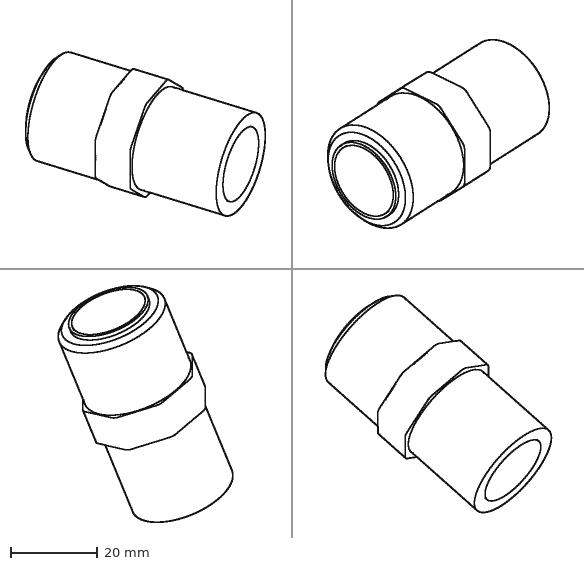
import cadquery as cq

total_length = 51.0
lip_length = 1.0
collar_start = 20.0
collar_width = 9.1

bore_diameter = 18.1
lip_diameter = 19.65
body_diameter = 26.4
spigot_diameter = 25.0
collar_across_flats = 27.0
collar_sides = 8
collar_corner_radius = 2.25
body_chamfer = 1.3

collar_end = collar_start + collar_width


def cylinder(diameter, start, end):
    """Solid cylinder along X between two axial positions."""
    return cq.Workplane("YZ", origin=(start, 0, 0)).circle(diameter / 2).extrude(end - start)


def octagonal_collar():
    """Octagon with rounded corners and flats facing Y and Z."""
    return (
        cq.Workplane("YZ", origin=(collar_start, 0, 0))
        .polygon(collar_sides, collar_across_flats, circumscribed=True)
        .extrude(collar_width)
        .edges("|X")
        .fillet(collar_corner_radius)
    )


lip = cylinder(lip_diameter, 0, collar_start)
body = cylinder(body_diameter, lip_length, collar_start).faces("<X").chamfer(body_chamfer)

spigot = cylinder(spigot_diameter, collar_end, total_length)

bore = cylinder(bore_diameter, 0, total_length)
result = lip.union(body).union(octagonal_collar()).union(spigot).cut(bore)